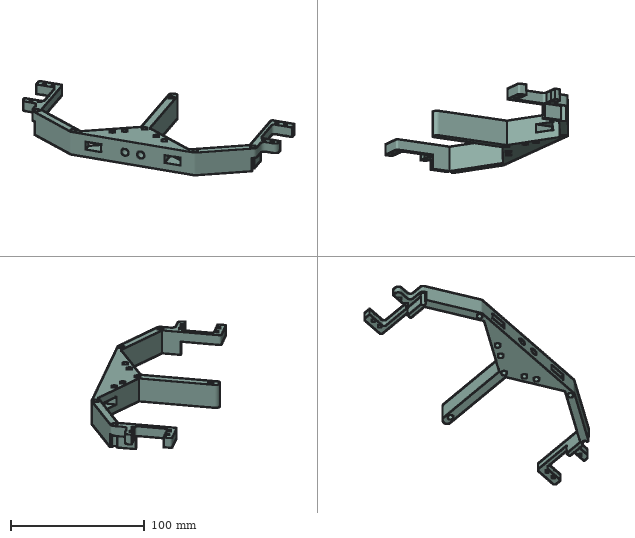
import math

import cadquery as cq

HEIGHT = 19.05
HALF_WIDTH = 102.725
DEPTH = 88.24

BEAM_WIDTH = 6.35
BEAM_HALF = BEAM_WIDTH / 2
LINK_SLOPE = math.tan(math.radians(30))
LINK_EDGE_RISE = BEAM_HALF / math.cos(math.radians(30))
LINK_RUN = 38.1
HINGE_DIAMETER = 4.2
FRONT_HINGE_X = 48.85
FRONT_HINGE_Y = BEAM_HALF
POST_HINGE_X = FRONT_HINGE_X + LINK_RUN
POST_HINGE_Y = FRONT_HINGE_Y + LINK_RUN * LINK_SLOPE
VALLEY_RADIUS = 1.0

STEM_HALF = 3.45
STEM_TIP_RADIUS = 3.175
STEM_HINGE_Y = POST_HINGE_Y
STEM_TIP_HOLE_Y = 81.28

POST_OUTER_X = POST_HINGE_X + BEAM_HALF
POST_INNER_X = POST_HINGE_X - BEAM_HALF
BRACKET_THICKNESS = 8.1
BRACKET_BACK_Y = 72.3
BAY_WALL_X = 87.2
BAY_FRONT_Y = 41.3
BAY_BACK_Y = 65.9
FLANGE_FRONT_Y = 35.7
BACK_CORNER_RADIUS = 1.5
BAY_CORNER_RADIUS = 1.9
FLANGE_RADIUS = 3.3

SERVO_HOLE_DIAMETER = 2.54
SERVO_HOLES_X = (89.95, 96.85)
SERVO_HOLES_Y = (39.9, 67.8)

MOUNT_HOLE_DIAMETER = 4.2
MOUNT_HOLE_X = 12.7
MOUNT_HOLE_Y = 16.3
MOUNT_HOLE_RUN = 8.25

WINDOW_X = 31.75
WINDOW_WIDTH = 12.7
WINDOW_HEIGHT = 6.35
FRONT_HOLE_X = 6.35
FRONT_HOLE_DIAMETER = 5.7
FRONT_HOLE_DEPTH = 12.7
OPENING_Z = HEIGHT / 2


def upright_edges(body, points, radius):
    """Round the vertical edges that pass through the given plan points."""
    reach = 0.05
    for x, y in points:
        box = cq.selectors.BoxSelector(
            (x - reach, y - reach, -reach), (x + reach, y + reach, HEIGHT + reach), boundingbox=True
        )
        body = body.edges(box).fillet(radius)
    return body


def drill(body, points, diameter):
    """Cut vertical through holes at the given plan points."""
    return body.cut(cq.Workplane("XY").pushPoints(points).circle(diameter / 2).extrude(HEIGHT))


def half_frame():
    """Right half of the frame, full height, from the stem out to the bracket."""
    triangle_top = STEM_HINGE_Y + LINK_EDGE_RISE
    link_axis = FRONT_HINGE_Y - FRONT_HINGE_X * LINK_SLOPE
    link_back = link_axis + LINK_EDGE_RISE
    link_front = link_axis - LINK_EDGE_RISE

    stem_tip = (STEM_HALF, DEPTH)
    stem_foot = (STEM_HALF, triangle_top - STEM_HALF * LINK_SLOPE)
    valley_x = (triangle_top - link_back) / (2 * LINK_SLOPE)
    valley = (valley_x, link_back + valley_x * LINK_SLOPE)
    post_foot = (POST_INNER_X, link_back + POST_INNER_X * LINK_SLOPE)
    back_inner = (POST_INNER_X, BRACKET_BACK_Y)
    back_outer = (HALF_WIDTH, BRACKET_BACK_Y)
    bay_back = (BAY_WALL_X, BAY_BACK_Y)
    bay_front = (BAY_WALL_X, BAY_FRONT_Y)
    flange_tip = (HALF_WIDTH, FLANGE_FRONT_Y)
    flange_root = (POST_OUTER_X, FLANGE_FRONT_Y)
    post_corner = (POST_OUTER_X, link_front + POST_OUTER_X * LINK_SLOPE)
    front_corner = (-link_front / LINK_SLOPE, 0)

    outline = [
        (0, 0),
        (0, DEPTH),
        stem_tip,
        stem_foot,
        valley,
        post_foot,
        back_inner,
        back_outer,
        (HALF_WIDTH, BAY_BACK_Y),
        bay_back,
        bay_front,
        (HALF_WIDTH, BAY_FRONT_Y),
        flange_tip,
        flange_root,
        post_corner,
        front_corner,
    ]
    body = cq.Workplane("XY").polyline(outline).close().extrude(HEIGHT)
    body = upright_edges(body, [stem_tip], STEM_TIP_RADIUS)
    body = upright_edges(body, [valley], VALLEY_RADIUS)
    body = upright_edges(body, [back_inner, back_outer], BACK_CORNER_RADIUS)
    body = upright_edges(body, [bay_back, bay_front], BAY_CORNER_RADIUS)
    body = upright_edges(body, [flange_tip, flange_root], FLANGE_RADIUS)
    return upright_edges(body, [post_corner, front_corner], BEAM_HALF)


def bracket_relief():
    """Volume removed below the bracket: behind the bay front and outside the bay wall."""
    relief_height = HEIGHT - BRACKET_THICKNESS
    behind = cq.Workplane("XY").box(
        HALF_WIDTH - POST_INNER_X, BRACKET_BACK_Y - BAY_FRONT_Y, relief_height, centered=False
    ).translate((POST_INNER_X, BAY_FRONT_Y, 0))
    outside = cq.Workplane("XY").box(
        HALF_WIDTH - BAY_WALL_X, BRACKET_BACK_Y, relief_height, centered=False
    ).translate((BAY_WALL_X, 0, 0))
    return behind.union(outside)


def drilled_half():
    """Half frame with the bracket relief and all the paired vertical holes."""
    body = half_frame().cut(bracket_relief())
    body = drill(body, [(FRONT_HINGE_X, FRONT_HINGE_Y), (POST_HINGE_X, POST_HINGE_Y)], HINGE_DIAMETER)
    mount_holes = [
        (MOUNT_HOLE_X, MOUNT_HOLE_Y),
        (MOUNT_HOLE_X + MOUNT_HOLE_RUN, MOUNT_HOLE_Y - MOUNT_HOLE_RUN * LINK_SLOPE),
    ]
    body = drill(body, mount_holes, MOUNT_HOLE_DIAMETER)
    servo_holes = [(x, y) for x in SERVO_HOLES_X for y in SERVO_HOLES_Y]
    return drill(body, servo_holes, SERVO_HOLE_DIAMETER)


def front_openings():
    """Windows through the whole part and blind round holes, both entering the front wall."""
    front = cq.Workplane("XZ").center(0, OPENING_Z)
    windows = front.pushPoints([(-WINDOW_X, 0), (WINDOW_X, 0)])
    windows = windows.rect(WINDOW_WIDTH, WINDOW_HEIGHT).extrude(-DEPTH)
    holes = front.pushPoints([(-FRONT_HOLE_X, 0), (FRONT_HOLE_X, 0)])
    holes = holes.circle(FRONT_HOLE_DIAMETER / 2).extrude(-FRONT_HOLE_DEPTH)
    return windows.union(holes)


half = drilled_half()
frame = half.union(half.mirror("YZ"))
frame = drill(frame, [(0, STEM_HINGE_Y), (0, STEM_TIP_HOLE_Y)], HINGE_DIAMETER)
result = frame.cut(front_openings())